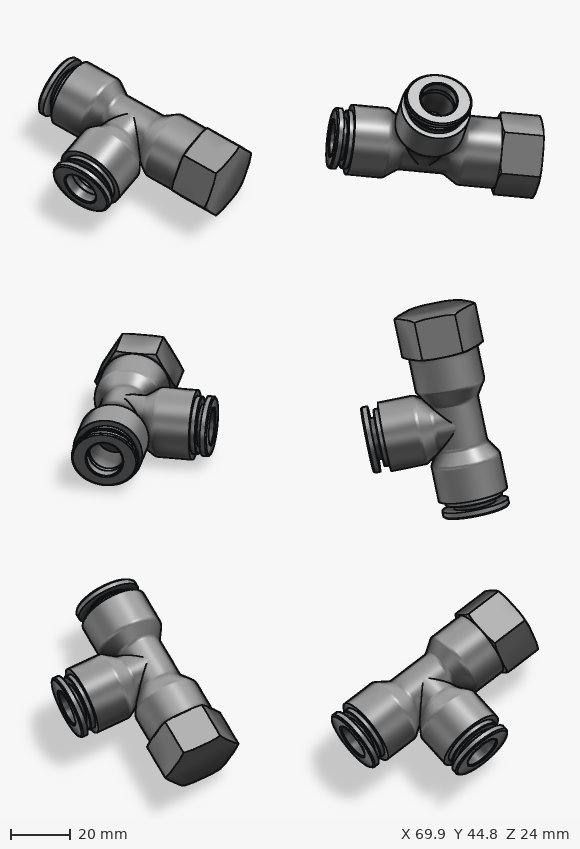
import cadquery as cq
import math

TOTAL_LENGTH = 69.9

PORT_REACH = 30.9
ARM_LENGTH = 25.0
BARREL_DIAMETER = 23.5
CORE_DIAMETER = 16.9
TAPER_START = 7.8
TAPER_END = 12.85
TAPER_BLEND_RADIUS = 2.0
SOCKET_DIAMETER = 12.2
SOCKET_DEPTH = ARM_LENGTH - TAPER_END

COLLAR_LENGTH = 1.9
COLLAR_DIAMETER = 19.6
COLLAR_CHAMFER = 0.3

SLEEVE_LENGTH = PORT_REACH - ARM_LENGTH - COLLAR_LENGTH
SLEEVE_BORE = 12.15
MOUTH_CHAMFER = 0.4
NECK_DIAMETER = 14.2
FLANGE_THICKNESS = 2.25
FLANGE_WIDTH = 22.5
FLANGE_HEIGHT = COLLAR_DIAMETER
FLANGE_CHAMFER = 0.5

HEX_ACROSS_FLATS = 24.0
HEX_ACROSS_CORNERS = HEX_ACROSS_FLATS / math.cos(math.radians(30))
HEX_LENGTH = TOTAL_LENGTH - PORT_REACH - ARM_LENGTH
HEX_FACE_DIAMETER = 24.9
HEX_CHAMFER_DEPTH = 0.4

HEX_ARM_ANGLE = 0
PUSH_IN_ANGLES = (180, -90)


def turn_to_arm(shape, angle):
    """Turn a shape built along +X onto the arm at the given angle."""
    return shape.rotate((0, 0, 0), (0, 0, 1), angle)


def section_at(distance):
    """Workplane across the +X axis; its x is global Y and its y is global Z."""
    return cq.Workplane("YZ", origin=(distance, 0, 0))


def make_arm():
    """Solid arm along +X, from the origin to its end face."""
    core_radius = CORE_DIAMETER / 2
    barrel_radius = BARREL_DIAMETER / 2
    arm = (
        cq.Workplane("XY")
        .polyline([
            (0, 0),
            (0, core_radius),
            (TAPER_START, core_radius),
            (TAPER_END, barrel_radius),
            (ARM_LENGTH, barrel_radius),
            (ARM_LENGTH, 0),
        ])
        .close()
        .revolve(360, (0, 0, 0), (1, 0, 0))
    )
    taper_edges = cq.selectors.BoxSelector(
        (TAPER_START / 2, -barrel_radius, -barrel_radius),
        ((TAPER_END + ARM_LENGTH) / 2, barrel_radius, barrel_radius),
    )
    return arm.edges(taper_edges).edges("%CIRCLE").fillet(TAPER_BLEND_RADIUS)


def make_socket():
    """Blind tube socket cut into the end face of an arm."""
    return section_at(ARM_LENGTH - SOCKET_DEPTH).circle(SOCKET_DIAMETER / 2).extrude(SOCKET_DEPTH)


def make_body():
    body = turn_to_arm(make_arm(), HEX_ARM_ANGLE)
    for angle in PUSH_IN_ANGLES:
        body = body.union(turn_to_arm(make_arm(), angle))
    for angle in PUSH_IN_ANGLES:
        body = body.cut(turn_to_arm(make_socket(), angle))
    return body


def make_collar():
    return (
        section_at(ARM_LENGTH)
        .circle(COLLAR_DIAMETER / 2)
        .extrude(COLLAR_LENGTH)
        .faces(">X").edges().chamfer(COLLAR_CHAMFER)
        .cut(section_at(ARM_LENGTH).circle(SOCKET_DIAMETER / 2).extrude(COLLAR_LENGTH))
    )


def make_sleeve():
    start = ARM_LENGTH + COLLAR_LENGTH
    flange = (
        section_at(PORT_REACH - FLANGE_THICKNESS)
        .ellipse(FLANGE_WIDTH / 2, FLANGE_HEIGHT / 2)
        .extrude(FLANGE_THICKNESS)
        .faces(">X").edges().chamfer(FLANGE_CHAMFER)
    )
    neck = section_at(start).circle(NECK_DIAMETER / 2).extrude(SLEEVE_LENGTH - FLANGE_THICKNESS)
    bore = section_at(start).circle(SLEEVE_BORE / 2).extrude(SLEEVE_LENGTH)
    sleeve = neck.union(flange).cut(bore)
    return sleeve.faces(">X").edges("%CIRCLE").chamfer(MOUTH_CHAMFER)


def make_hex_end():
    """Hexagonal prism with a corner pointing along +Y and both ends chamfered."""
    prism = section_at(ARM_LENGTH).polygon(6, HEX_ACROSS_CORNERS).extrude(HEX_LENGTH)
    start = ARM_LENGTH
    end = ARM_LENGTH + HEX_LENGTH
    face_radius = HEX_FACE_DIAMETER / 2
    corner_radius = HEX_ACROSS_CORNERS / 2
    chamfer_envelope = (
        cq.Workplane("XY")
        .polyline([
            (start, 0),
            (start, face_radius),
            (start + HEX_CHAMFER_DEPTH, corner_radius),
            (end - HEX_CHAMFER_DEPTH, corner_radius),
            (end, face_radius),
            (end, 0),
        ])
        .close()
        .revolve(360, (0, 0, 0), (1, 0, 0))
    )
    return prism.intersect(chamfer_envelope)


body = make_body()
hex_end = turn_to_arm(make_hex_end(), HEX_ARM_ANGLE)
collars = [turn_to_arm(make_collar(), angle) for angle in PUSH_IN_ANGLES]
sleeves = [turn_to_arm(make_sleeve(), angle) for angle in PUSH_IN_ANGLES]

result = cq.Compound.makeCompound([
    body.val(),
    hex_end.val(),
    *[collar.val() for collar in collars],
    *[sleeve.val() for sleeve in sleeves],
])